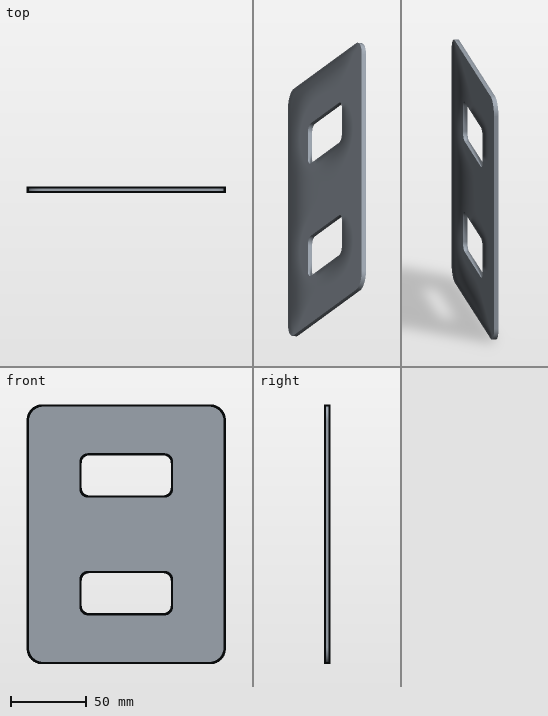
import cadquery as cq

plate_width = 130.0
plate_height = 170.0
plate_thickness = 3.0
plate_corner_radius = 10.0

window_width = 60.0
window_height = 27.6
window_corner_radius = 5.0
window_spacing = 77.6


def rounded_slab(width, height, corner_radius, center_z=0.0):
    """Rounded rectangle of plate thickness, centred on X and Y."""
    return (
        cq.Workplane("XY")
        .box(width, plate_thickness, height)
        .edges("|Y")
        .fillet(corner_radius)
        .translate((0, 0, center_z))
    )


plate = rounded_slab(plate_width, plate_height, plate_corner_radius)

for side in (-1, 1):
    window_center_z = side * window_spacing / 2
    plate = plate.cut(
        rounded_slab(window_width, window_height, window_corner_radius, window_center_z)
    )

result = plate